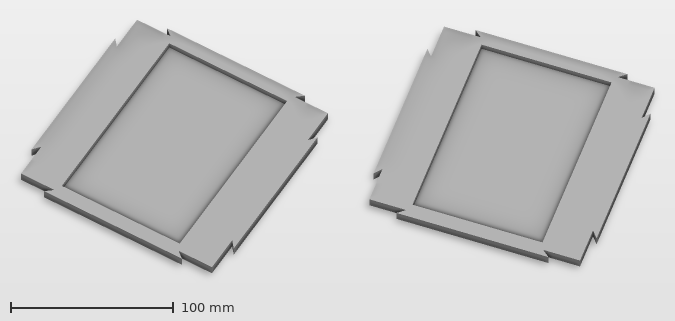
import cadquery as cq

overall_size = 145.26
thickness = 6.35
body_size = 137.16

tab_tip_width = 99.06
tab_flare = 4.9
tab_root_width = tab_tip_width - 2 * tab_flare

pocket_size_x = 84.67
pocket_size_y = 127.0
pocket_depth = 4.35


def make_body():
    """Square plate standing on Z = 0, centred in X and Y."""
    return cq.Workplane("XY").rect(body_size, body_size).extrude(thickness)


def make_tab(angle):
    """Dovetail tab on the +X edge, widening outward, turned about Z to the given angle."""
    root_x = body_size / 2
    tip_x = overall_size / 2
    outline = [
        (0, -tab_root_width / 2),
        (root_x, -tab_root_width / 2),
        (tip_x, -tab_tip_width / 2),
        (tip_x, tab_tip_width / 2),
        (root_x, tab_root_width / 2),
        (0, tab_root_width / 2),
    ]
    tab = cq.Workplane("XY").polyline(outline).close().extrude(thickness)
    return tab.rotate((0, 0, 0), (0, 0, 1), angle)


def make_pocket():
    """Block removed from the top face."""
    floor_plane = cq.Workplane("XY").workplane(offset=thickness - pocket_depth)
    return floor_plane.rect(pocket_size_x, pocket_size_y).extrude(pocket_depth)


plate = make_body()
for edge_angle in (0, 90, 180, 270):
    plate = plate.union(make_tab(edge_angle))

result = plate.cut(make_pocket())